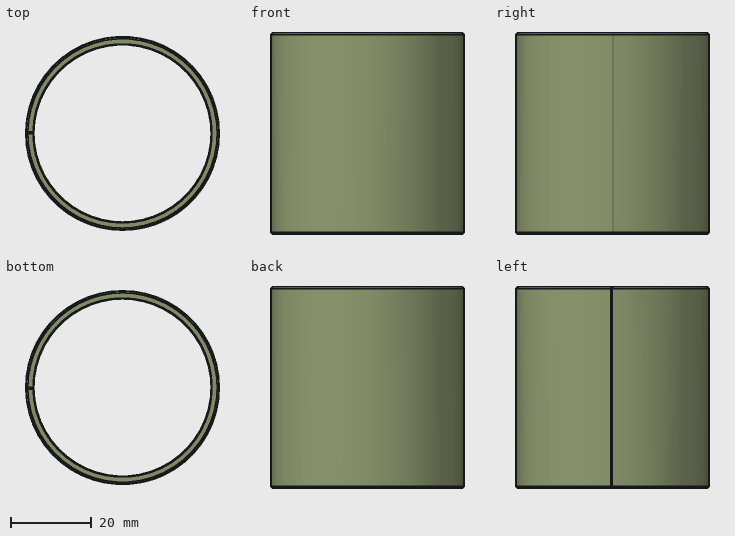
import cadquery as cq

length = 50.0
outer_diameter = 48.0
wall = 2.0
outer_chamfer = 0.5
inner_chamfer = 0.2
seam_width = 0.4

outer_radius = outer_diameter / 2
inner_radius = outer_radius - wall
half_length = length / 2

section = [
    (inner_radius, -half_length + inner_chamfer),
    (inner_radius + inner_chamfer, -half_length),
    (outer_radius - outer_chamfer, -half_length),
    (outer_radius, -half_length + outer_chamfer),
    (outer_radius, half_length - outer_chamfer),
    (outer_radius - outer_chamfer, half_length),
    (inner_radius + inner_chamfer, half_length),
    (inner_radius, half_length - inner_chamfer),
]
sleeve = cq.Workplane("XZ").polyline(section).close().revolve(360, (0, 0), (0, 1))

seam = (
    cq.Workplane("XY")
    .box(outer_diameter, seam_width, length, centered=(False, False, True))
    .translate((-outer_diameter, 0, 0))
)

result = sleeve.cut(seam)